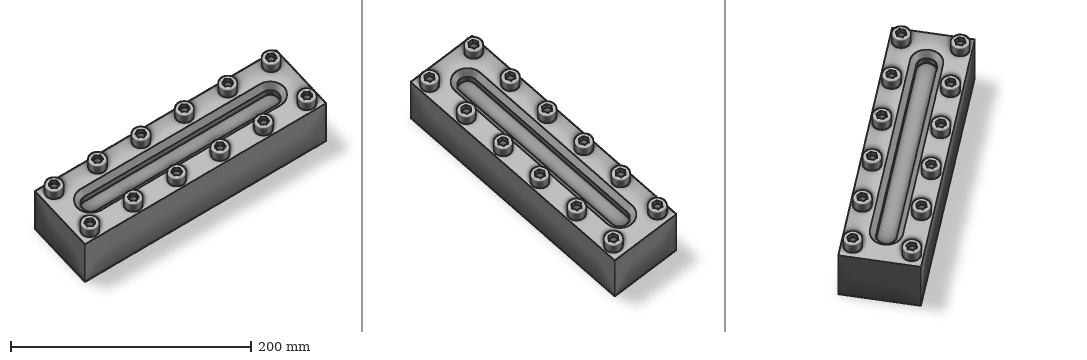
import cadquery as cq
import math

width = 70.0
length = 250.0
block_height = 51.0

window_span = 186.0
window_width = 17.5
bevel_width = 5.2
bevel_depth = 5.0
wall_depth = 6.5

row_spacing = 50.0
screws_per_row = 6
screw_pitch = 45.0
head_diameter = 16.0
head_height = 10.0
head_fillet = 1.0
socket_across_flats = 8.0
socket_depth = 4.5
socket_tip_angle = 120.0
socket_turn = -5.0


def make_block():
    return cq.Workplane("XY").box(width, length, block_height, centered=(True, True, False))


def obround(z, slot_width):
    """Obround sketch along Y at height z."""
    return cq.Workplane("XY", origin=(0, 0, z)).slot2D(window_span + slot_width, slot_width, 90)


def make_window():
    bevel_bottom = block_height - bevel_depth
    taper = math.degrees(math.atan(bevel_width / bevel_depth))
    rim_width = window_width + 2 * bevel_width
    straight = obround(bevel_bottom, window_width).extrude(-wall_depth)
    bevel = obround(block_height, rim_width).extrude(-bevel_depth, taper=taper)
    return straight.union(bevel)


def make_socket():
    """Hexagonal socket with a conical bottom, opening at Z = head_height."""
    across_corners = socket_across_flats / math.cos(math.pi / 6)
    socket_bottom = head_height - socket_depth
    hexagon = (
        cq.Workplane("XY", origin=(0, 0, socket_bottom))
        .polygon(6, across_corners)
        .extrude(socket_depth)
        .rotate((0, 0, 0), (0, 0, 1), socket_turn)
    )
    tip_radius = socket_across_flats / 2
    tip_depth = tip_radius / math.tan(math.radians(socket_tip_angle / 2))
    tip = (
        cq.Workplane("XZ", origin=(0, 0, socket_bottom))
        .polyline([(0, 0), (tip_radius, 0), (0, -tip_depth)])
        .close()
        .revolve(360, (0, 0), (0, 1))
    )
    return hexagon.union(tip)


def make_screw_head():
    head = cq.Workplane("XY").circle(head_diameter / 2).extrude(head_height)
    head = head.faces(">Z").fillet(head_fillet)
    return head.cut(make_socket())


result = make_block().cut(make_window())

screw_head = make_screw_head()
first_y = -screw_pitch * (screws_per_row - 1) / 2
for x in (-row_spacing / 2, row_spacing / 2):
    for index in range(screws_per_row):
        y = first_y + index * screw_pitch
        result = result.union(screw_head.translate((x, y, block_height)))